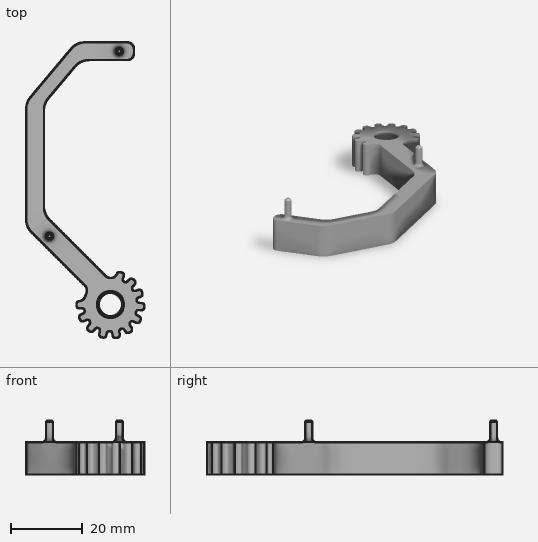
import cadquery as cq
import math

overall_width = 32.95
overall_length = 82.4

thickness = 9.1

tip_radius = 9.5
root_radius = 7.4
flank_base = 8.0
tooth_width = 2.1
tip_rounding = 0.8
tooth_count = 11
tooth_pitch = 25.1
first_tooth_angle = 71.4
end_tooth_fillet = 1.8
bore_diameter = 6.5
bore_chamfer = 0.5

arm_end = 6.6
bar_width = 5.0
lower_width = 6.0
lower_axis_sum = 2.4
slope_width = 4.0
slope_angle = 50
slope_start = 56.25
bend_radius = 4.95
end_rounding = 2.0
arm_hub_fillet = 2.0

pin_diameter = 2.0
pin_height = 5.9
pin_fillet = 1.0
pin_chamfer = 0.4
upper_pin_x = 2.5
lower_pin_x = -17.0
lower_pin_y = 19.0


def polar(radius, degrees, side=0.0):
    """Point at a radius along a direction, shifted sideways (anticlockwise)."""
    direction = math.radians(degrees)
    return (
        radius * math.cos(direction) - side * math.sin(direction),
        radius * math.sin(direction) + side * math.cos(direction),
    )


def fillet_upright(body, points, radius):
    """Round the upright edges that pass through the given XY points."""
    for x, y in points:
        edge = cq.selectors.NearestToPointSelector((x, y, thickness / 2))
        body = body.edges("|Z").edges(edge).fillet(radius)
    return body


half_tooth = tooth_width / 2
tooth_angles = [first_tooth_angle - i * tooth_pitch for i in range(tooth_count)]
last_tooth_angle = tooth_angles[-1]
root_reach = math.sqrt(root_radius**2 - half_tooth**2)
tip_reach = math.sqrt(tip_radius**2 - half_tooth**2)
arm_side_start = polar(root_reach, first_tooth_angle, half_tooth)
arm_side_end = polar(root_reach, last_tooth_angle, -half_tooth)
arm_side_middle = polar(root_radius, (first_tooth_angle + last_tooth_angle + 360) / 2)


def make_hub():
    """Gear-like plate with a plain root arc where the arm joins."""
    outline = cq.Workplane("XY").moveTo(*arm_side_start)
    tip_corners = []
    for angle in tooth_angles:
        corners = [polar(tip_reach, angle, side) for side in (half_tooth, -half_tooth)]
        tip_corners += corners
        outline = outline.lineTo(*corners[0])
        outline = outline.threePointArc(polar(tip_radius, angle), corners[1])
        if angle == last_tooth_angle:
            outline = outline.lineTo(*arm_side_end)
        else:
            outline = outline.lineTo(*polar(flank_base, angle, -half_tooth))
            outline = outline.threePointArc(
                polar(root_radius, angle - tooth_pitch / 2),
                polar(flank_base, angle - tooth_pitch, half_tooth),
            )
    outline = outline.threePointArc(arm_side_middle, arm_side_start).close()
    return fillet_upright(outline.extrude(thickness), tip_corners, tip_rounding)


tip_rounding_reach = tip_radius - tip_rounding
tip_rounding_side = half_tooth - tip_rounding
tip_rounding_along = math.sqrt(tip_rounding_reach**2 - tip_rounding_side**2)
tip_rounding_centres = [
    polar(tip_rounding_along, angle, side)
    for angle in tooth_angles
    for side in (tip_rounding_side, -tip_rounding_side)
]
hub_right = max(x for x, y in tip_rounding_centres) + tip_rounding
hub_bottom = min(y for x, y in tip_rounding_centres) - tip_rounding
arm_left = hub_right - overall_width
arm_top = hub_bottom + overall_length

slope = math.tan(math.radians(slope_angle))
arm_inner_left = arm_left + bar_width
arm_inner_top = arm_top - bar_width
inner_slope_start = slope_start - slope_width / math.cos(math.radians(slope_angle))
lower_half_sum = lower_width / math.sqrt(2)
outer_sum = lower_axis_sum - lower_half_sum
inner_sum = lower_axis_sum + lower_half_sum


def slope_x(y, start_x, start_y):
    """X at height Y on an upper slope line through the start point."""
    return start_x + (y - start_y) / slope


def make_arm():
    """Bent bar from the free end down to the inside of the hub."""
    outer_bends = [
        (arm_left, outer_sum - arm_left),
        (arm_left, slope_start),
        (slope_x(arm_top, arm_left, slope_start), arm_top),
    ]
    end_corners = [(arm_end, arm_top), (arm_end, arm_inner_top)]
    inner_bends = [
        (slope_x(arm_inner_top, arm_left, inner_slope_start), arm_inner_top),
        (arm_inner_left, inner_slope_start + bar_width * slope),
        (arm_inner_left, inner_sum - arm_inner_left),
    ]
    reach = (root_radius + bore_diameter / 2) / 2 / math.sqrt(2)
    hub_corners = [
        (inner_sum / 2 - reach, inner_sum / 2 + reach),
        (outer_sum / 2 - reach, outer_sum / 2 + reach),
    ]
    points = outer_bends + end_corners + inner_bends + hub_corners
    arm = cq.Workplane("XY").polyline(points).close().extrude(thickness)
    arm = fillet_upright(arm, outer_bends + inner_bends, bend_radius)
    return fillet_upright(arm, end_corners, end_rounding)


def root_crossing(line_sum):
    """Where a line X + Y = line_sum crosses the root circle on the arm side."""
    offset = line_sum / math.sqrt(2)
    return polar(root_radius, 45 + math.degrees(math.acos(offset / root_radius)))


def add_pin(body, x, y):
    """Stand a chamfered pin on the top face with a fillet round its foot."""
    pin = (
        cq.Workplane("XY", origin=(x, y, thickness))
        .circle(pin_diameter / 2)
        .extrude(pin_height)
        .faces(">Z")
        .chamfer(pin_chamfer)
    )
    foot = cq.selectors.NearestToPointSelector((x, y, thickness))
    return body.union(pin).edges("%CIRCLE").edges(foot).fillet(pin_fillet)


result = make_hub().union(make_arm())
result = fillet_upright(result, [arm_side_start, arm_side_end], end_tooth_fillet)
result = fillet_upright(
    result, [root_crossing(inner_sum), root_crossing(outer_sum)], arm_hub_fillet
)

bore = cq.Workplane("XY").circle(bore_diameter / 2).extrude(thickness)
bore_mouth = cq.Solid.makeCone(
    bore_diameter / 2,
    bore_diameter / 2 + bore_chamfer,
    bore_chamfer,
    pnt=cq.Vector(0, 0, thickness - bore_chamfer),
)
result = result.cut(bore).cut(bore_mouth)
result = add_pin(result, upper_pin_x, arm_top - bar_width / 2)
result = add_pin(result, lower_pin_x, lower_pin_y)